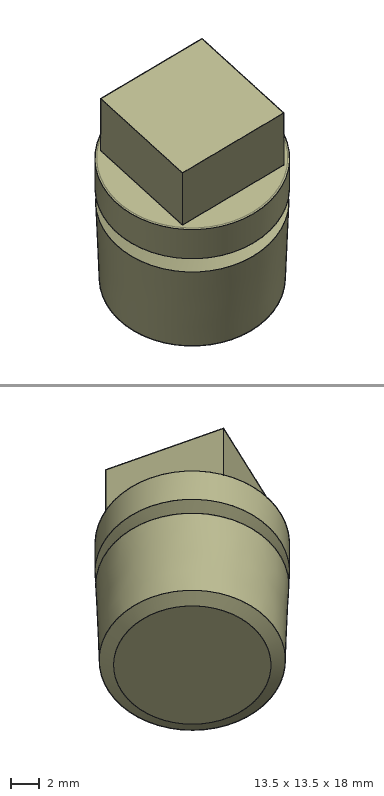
import cadquery as cq

total_height = 18.0
collar_top = 12.7
collar_height = 3.0

head_width = 9.0

collar_radius = 6.732
collar_chamfer_width = 0.13
collar_chamfer_height = 0.03

body_top = 8.3
body_top_radius = 6.685
taper_on_radius = 1 / 32

lead_in_height = 0.5
lead_in_width = 1.0

groove_radius = 5.72
groove_round_top = 9.25
groove_round_bottom = 8.82
groove_round_edge_radius = 5.84


def make_turned_body():
    """Revolve the half profile of collar, relief groove and tapered plug about Z."""
    collar_bottom = collar_top - collar_height
    body_bottom_radius = body_top_radius - taper_on_radius * (body_top - lead_in_height)
    groove_middle = (groove_round_top + groove_round_bottom) / 2
    profile = (
        cq.Workplane("XZ")
        .moveTo(0, 0)
        .lineTo(body_bottom_radius - lead_in_width, 0)
        .lineTo(body_bottom_radius, lead_in_height)
        .lineTo(body_top_radius, body_top)
        .lineTo(groove_round_edge_radius, groove_round_bottom)
        .threePointArc((groove_radius, groove_middle), (groove_round_edge_radius, groove_round_top))
        .lineTo(collar_radius, collar_bottom)
        .lineTo(collar_radius, collar_top - collar_chamfer_height)
        .lineTo(collar_radius - collar_chamfer_width, collar_top)
        .lineTo(0, collar_top)
        .close()
    )
    return profile.revolve(360, (0, 0, 0), (0, 1, 0))


def make_square_head():
    """Square drive head standing on the collar."""
    head_height = total_height - collar_top
    return (
        cq.Workplane("XY")
        .workplane(offset=collar_top)
        .rect(head_width, head_width)
        .extrude(head_height)
    )


result = make_turned_body().union(make_square_head())